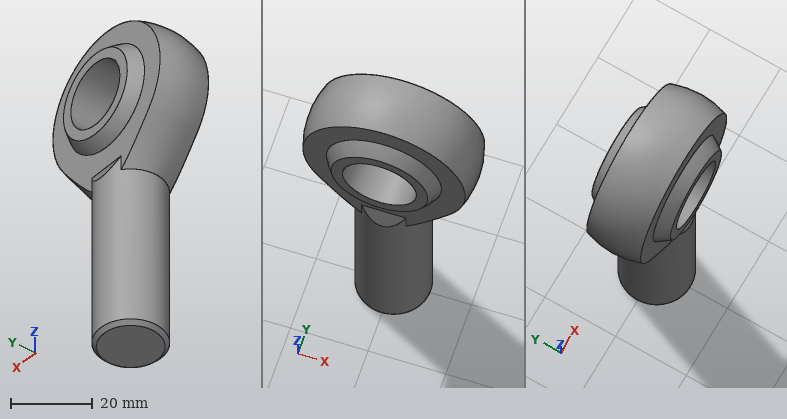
import cadquery as cq
import math

TOTAL_LENGTH = 95.25
HEAD_RADIUS = 22.24
HEAD_THICKNESS = 15.2
BALL_RADIUS = 16.7
BALL_WIDTH = 22.2
BORE_RADIUS = 9.5
SHANK_RADIUS = 9.5
TIP_CHAMFER = 1.1
BEVEL_HEIGHT = 4.3

half_thickness = HEAD_THICKNESS / 2
shank_bottom = HEAD_RADIUS - TOTAL_LENGTH

TANGENT_DROP = 12.7
tangent_radius = math.sqrt(HEAD_RADIUS**2 - TANGENT_DROP**2)
neck_bottom = -(HEAD_RADIUS**2 - tangent_radius * SHANK_RADIUS) / TANGENT_DROP
bevel_top = neck_bottom + BEVEL_HEIGHT


def make_head():
    """Sphere and tangent neck cone, revolved about Z and cut to flat faces."""
    body = (
        cq.Workplane("XZ")
        .moveTo(0, HEAD_RADIUS)
        .threePointArc((HEAD_RADIUS, 0), (tangent_radius, -TANGENT_DROP))
        .lineTo(SHANK_RADIUS, neck_bottom)
        .lineTo(0, neck_bottom)
        .close()
        .revolve(360, (0, 0, 0), (0, 1, 0))
    )
    slab = cq.Workplane("XY").box(2 * TOTAL_LENGTH, HEAD_THICKNESS, 2 * TOTAL_LENGTH)
    return body.intersect(slab)


def make_shank():
    """Round shank with a chamfered tip and two sloping flats at its top."""
    cylinder = (
        cq.Workplane("XY", origin=(0, 0, shank_bottom))
        .circle(SHANK_RADIUS)
        .extrude(bevel_top - shank_bottom)
        .faces("<Z")
        .chamfer(TIP_CHAMFER)
    )
    side_profile = (
        cq.Workplane("YZ")
        .polyline([
            (-SHANK_RADIUS, shank_bottom),
            (SHANK_RADIUS, shank_bottom),
            (SHANK_RADIUS, neck_bottom),
            (half_thickness, bevel_top),
            (-half_thickness, bevel_top),
            (-SHANK_RADIUS, neck_bottom),
        ])
        .close()
        .extrude(SHANK_RADIUS, both=True)
    )
    return cylinder.intersect(side_profile)


def make_ball():
    """Spherical bearing ball with flat ends."""
    slab = cq.Workplane("XY").box(2 * BALL_RADIUS, BALL_WIDTH, 2 * BALL_RADIUS)
    return cq.Workplane("XY").sphere(BALL_RADIUS).intersect(slab)


bore = cq.Workplane("XZ").circle(BORE_RADIUS).extrude(BALL_WIDTH, both=True)

result = make_head().union(make_shank()).union(make_ball()).cut(bore)